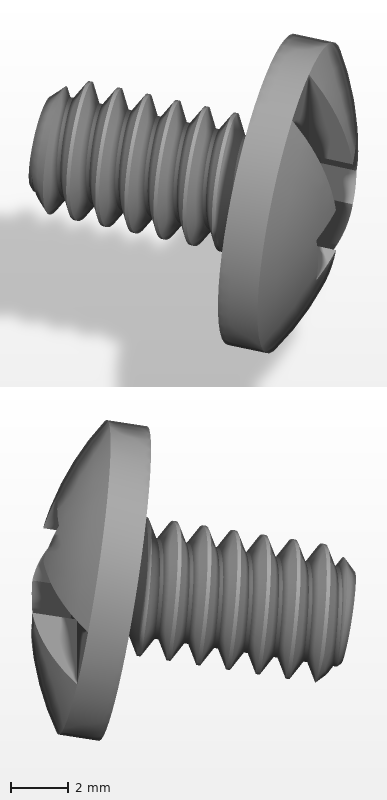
import cadquery as cq
import math

head_diameter = 11.11
head_start = 7.97
rim_width = 1.43
dome_radius = 9.89

slot_width = 2.17
short_slot_length = 5.18

major_diameter = 4.85
minor_diameter = 3.49
pitch = 1.05
thread_half_angle = 30.0
first_crest = 0.09
tip_diameter = 3.24

head_radius = head_diameter / 2
dome_start = head_start + rim_width
dome_center = dome_start - math.sqrt(dome_radius**2 - head_radius**2)
dome_top = dome_center + dome_radius
major_radius = major_diameter / 2
minor_radius = minor_diameter / 2
tip_chamfer = major_radius - tip_diameter / 2
crest_width = pitch / 8


def make_head():
    """Revolved disc and dome with the driver recess cut down to the rim."""
    arc_middle_radius = head_radius / 2
    arc_middle_x = dome_center + math.sqrt(dome_radius**2 - arc_middle_radius**2)
    head = (
        cq.Workplane("XY")
        .moveTo(head_start, 0)
        .lineTo(head_start, head_radius)
        .lineTo(dome_start, head_radius)
        .threePointArc((arc_middle_x, arc_middle_radius), (dome_top, 0))
        .close()
        .revolve(360, (0, 0, 0), (1, 0, 0))
    )
    recess_plane = cq.Workplane("YZ", origin=(dome_start, 0, 0))
    recess_depth = dome_top - dome_start
    long_slot = recess_plane.rect(slot_width, head_diameter).extrude(recess_depth)
    short_slot = recess_plane.rect(short_slot_length, slot_width).extrude(recess_depth)
    return head.cut(long_slot).cut(short_slot)


def make_thread_groove():
    """Right-handed trapezoidal helical groove that runs past both shank ends."""
    overcut = 0.05
    flank_slope = math.tan(math.radians(thread_half_angle))
    outer_radius = major_radius + overcut
    outer_half = (pitch - crest_width) / 2 + overcut * flank_slope
    root_half = outer_half - (outer_radius - minor_radius) * flank_slope
    start = first_crest - 1.5 * pitch
    turns = math.ceil((head_start - start) / pitch) + 1

    path = cq.Wire.makeHelix(pitch, turns * pitch, minor_radius)
    groove = (
        cq.Workplane("XZ")
        .polyline(
            [
                (minor_radius, -root_half),
                (outer_radius, -outer_half),
                (outer_radius, outer_half),
                (minor_radius, root_half),
            ]
        )
        .close()
        .sweep(cq.Workplane(path), isFrenet=True)
    )
    shank_plane = cq.Plane(origin=(start, 0, 0), xDir=(0, 1, 0), normal=(1, 0, 0))
    return groove.val().moved(cq.Location(shank_plane))


def make_shank():
    """Threaded rod trimmed to the shank's length and tapered tip."""
    overhang = 3 * pitch
    rod = (
        cq.Workplane("YZ", origin=(-overhang, 0, 0))
        .circle(major_radius)
        .extrude(head_start + 2 * overhang)
    )
    threaded_rod = rod.cut(cq.Workplane(make_thread_groove()))
    envelope = (
        cq.Workplane("YZ")
        .circle(major_radius)
        .extrude(head_start)
        .faces("<X")
        .chamfer(tip_chamfer)
    )
    return threaded_rod.intersect(envelope)


result = make_head().union(make_shank())